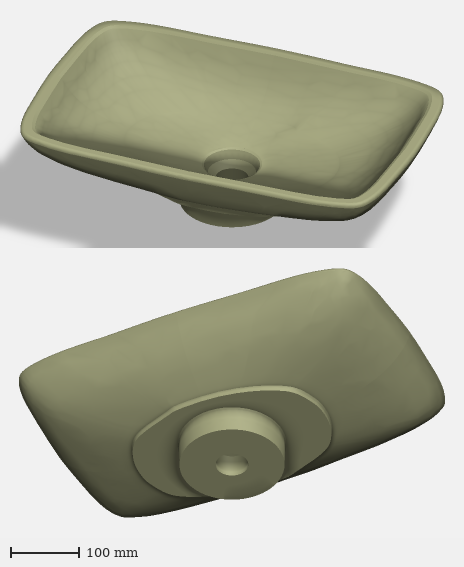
import cadquery as cq
import math

length = 581.5
width = 378.5
height = 152.0

rim_height = 6.5
rim_round = 5.0
rim_end_radius = 802.5
rim_side_radius = 2326.0
rim_corner_radius = 40.5

foot_half_length = 150.5
foot_half_width = 103.5
foot_top_z = -104.0
foot_bottom_z = -110.5

neck_top_radius = 80.0
neck_radius = 78.5
neck_bottom_radius = 77.5
neck_shoulder_z = -113.5
neck_root_z = -99.0

drain_hole_diameter = 48.0
drain_seat_radius = 45.5
drain_throat_radius = 41.0
drain_step_radius = 35.5
drain_seat_z = -89.5
drain_throat_z = -92.0
drain_step_z = -104.5
drain_funnel_z = -114.0

rim_shape = (length / 2, width / 2, rim_end_radius, rim_side_radius, rim_corner_radius)
bowl_sections = [
    (-rim_height, *rim_shape),
    (-29.0, 281.0, 178.5, 698.0, 1919.0, 38.0),
    (-53.5, 261.5, 162.0, 552.5, 1337.0, 40.5),
    (-73.0, 235.5, 143.0, 378.0, 814.0, 49.5),
    (-88.5, 200.0, 122.5, 203.5, 442.0, 58.0),
    (-100.5, 152.5, 103.5, 104.5, 238.5, 53.0),
]
lip_bottom = (-3.0, 269.0, 171.0, 802.5, 2326.0, 29.0)
basin_crease = (-70.0, 164.0, 100.0, 81.5, 249.5, 65.5)
lip_sections = [
    (0.0, 274.0, 174.0, 802.5, 2326.0, 29.0),
    lip_bottom,
]
basin_wall_sections = [
    lip_bottom,
    (-26.0, 252.5, 156.5, 581.5, 1453.5, 38.0),
    (-49.5, 219.0, 134.0, 291.0, 639.5, 52.5),
    basin_crease,
]
basin_floor_sections = [
    basin_crease,
    (-82.5, 99.0, 68.5, 62.0, 145.0, 49.5),
    (-90.0, 43.5, 42.5, 54.0, 57.0, 21.0),
]


def pillow_outline(z, half_length, half_width, end_radius, side_radius, corner_radius):
    """Closed smooth outline, one spline per quarter, following bulging sides and tangent corner arcs."""
    end_center = half_length - end_radius
    side_center = half_width - side_radius
    spacing = math.hypot(end_center, side_center)
    end_reach = end_radius - corner_radius
    side_reach = side_radius - corner_radius
    along = (end_reach**2 - side_reach**2 + spacing**2) / (2 * spacing)
    across = math.sqrt(end_reach**2 - along**2)
    toward_x = -end_center / spacing
    toward_y = side_center / spacing
    candidates = [
        (
            end_center + along * toward_x - sign * across * toward_y,
            along * toward_y + sign * across * toward_x,
        )
        for sign in (1, -1)
    ]
    corner_x, corner_y = max(candidates, key=sum)

    end_angle = math.atan2(corner_y, corner_x - end_center)
    side_angle = math.atan2(corner_y - side_center, corner_x)
    middle_angle = (end_angle + side_angle) / 2

    def corner_point(angle):
        return (
            corner_x + corner_radius * math.cos(angle),
            corner_y + corner_radius * math.sin(angle),
        )

    def mirrored(signs):
        return [(signs[0] * x, signs[1] * y) for x, y in quarter]

    end_middle = end_angle / 2
    side_middle = (side_angle + math.pi / 2) / 2
    quarter = [
        (half_length, 0),
        (end_center + end_radius * math.cos(end_middle), end_radius * math.sin(end_middle)),
        corner_point(end_angle),
        corner_point(middle_angle),
        corner_point(side_angle),
        (side_radius * math.cos(side_middle), side_center + side_radius * math.sin(side_middle)),
        (0, half_width),
    ]
    along_x = (1, 0)
    along_y = (0, 1)
    against_x = (-1, 0)
    against_y = (0, -1)
    quarters = [
        (mirrored((1, 1)), along_y, against_x),
        (mirrored((-1, 1))[::-1], against_x, against_y),
        (mirrored((-1, -1)), against_y, along_x),
        (mirrored((1, -1))[::-1], along_x, along_y),
    ]
    outline = cq.Workplane("XY", origin=(0, 0, z))
    for points, start_tangent, end_tangent in quarters:
        outline = outline.moveTo(*points[0]).spline(
            points[1:], tangents=[start_tangent, end_tangent], includeCurrent=True
        )
    return outline.wire()


def loft_sections(sections, ruled=False):
    wires = [pillow_outline(*section).wires().val() for section in sections]
    return cq.Workplane(cq.Solid.makeLoft(wires, ruled))


def revolve_profile(points):
    """Turn an (r, z) profile about the Z axis."""
    return cq.Workplane("XZ").polyline(points).close().revolve(360, (0, 0), (0, 1))


def make_rim():
    return pillow_outline(-rim_height, *rim_shape).extrude(rim_height).faces(">Z").edges().fillet(rim_round)


def make_foot():
    bowl_base = bowl_sections[-1]
    foot_shape = (foot_half_length, foot_half_width, *bowl_base[3:])
    flare = loft_sections([bowl_base, (foot_top_z, *foot_shape)], ruled=True)
    slab = pillow_outline(foot_bottom_z, *foot_shape).extrude(foot_top_z - foot_bottom_z)
    return flare.union(slab)


def make_neck():
    return revolve_profile(
        [
            (0, neck_root_z),
            (neck_top_radius, neck_root_z),
            (neck_top_radius, foot_bottom_z),
            (neck_radius, neck_shoulder_z),
            (neck_bottom_radius, -height),
            (0, -height),
        ]
    )


def make_drain_opening():
    hole_radius = drain_hole_diameter / 2
    return revolve_profile(
        [
            (0, 0),
            (drain_seat_radius, 0),
            (drain_seat_radius, drain_seat_z),
            (drain_throat_radius, drain_throat_z),
            (drain_step_radius, drain_step_z),
            (hole_radius, drain_funnel_z),
            (hole_radius, -height),
            (0, -height),
        ]
    )


outside = loft_sections(bowl_sections).union(make_rim()).union(make_foot()).union(make_neck())
basin = [
    loft_sections(lip_sections, ruled=True),
    loft_sections(basin_wall_sections),
    loft_sections(basin_floor_sections),
    make_drain_opening(),
]
result = outside
for cavity in basin:
    result = result.cut(cavity)